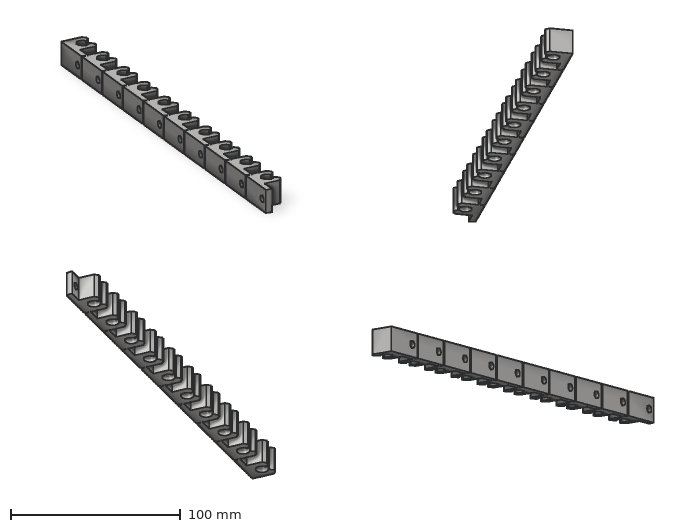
import cadquery as cq
import math

clip_count = 10
pitch = 25.0
depth = 16.0
height = 15.0

web_thickness = 4.0

clip_width = 16.0
seat_radius = 3.8
seat_x = clip_width / 2
seat_y = 10.0
throat_width = 4.0
bevel = 2.0

hole_diameter = 4.2
hole_x = 20.0

groove_half_width = 0.68
groove_depth = 2.5


tip_x = seat_x - throat_width / 2
tip_y = seat_y + math.sqrt(seat_radius**2 - (throat_width / 2) ** 2)


def clip(start_x):
    """One clip with its stretch of web, beginning at start_x."""
    return (
        cq.Workplane("XY", origin=(start_x, 0, 0))
        .moveTo(0, 0)
        .lineTo(0, depth - bevel)
        .lineTo(bevel, depth)
        .lineTo(tip_x - bevel, depth)
        .lineTo(tip_x, depth - bevel)
        .lineTo(tip_x, tip_y)
        .threePointArc((seat_x, seat_y - seat_radius), (clip_width - tip_x, tip_y))
        .lineTo(clip_width - tip_x, depth - bevel)
        .lineTo(clip_width - tip_x + bevel, depth)
        .lineTo(clip_width - bevel, depth)
        .lineTo(clip_width, depth - bevel)
        .lineTo(clip_width, web_thickness)
        .lineTo(pitch, web_thickness)
        .lineTo(pitch, 0)
        .close()
        .extrude(height)
    )


def mounting_hole(start_x):
    """Cylinder that pierces the web of the clip beginning at start_x."""
    return (
        cq.Workplane("XZ", origin=(start_x + hole_x, 0, height / 2))
        .circle(hole_diameter / 2)
        .extrude(-web_thickness)
    )


def snap_groove(center_x):
    """V-shaped prism that notches the back face at center_x."""
    return (
        cq.Workplane("XY", origin=(center_x, 0, 0))
        .moveTo(-groove_half_width, 0)
        .lineTo(0, groove_depth)
        .lineTo(groove_half_width, 0)
        .close()
        .extrude(height)
    )


clip_starts = [index * pitch for index in range(clip_count)]

result = clip(clip_starts[0])
for start_x in clip_starts[1:]:
    result = result.union(clip(start_x))

for start_x in clip_starts:
    result = result.cut(mounting_hole(start_x))
    result = result.cut(snap_groove(start_x + pitch))